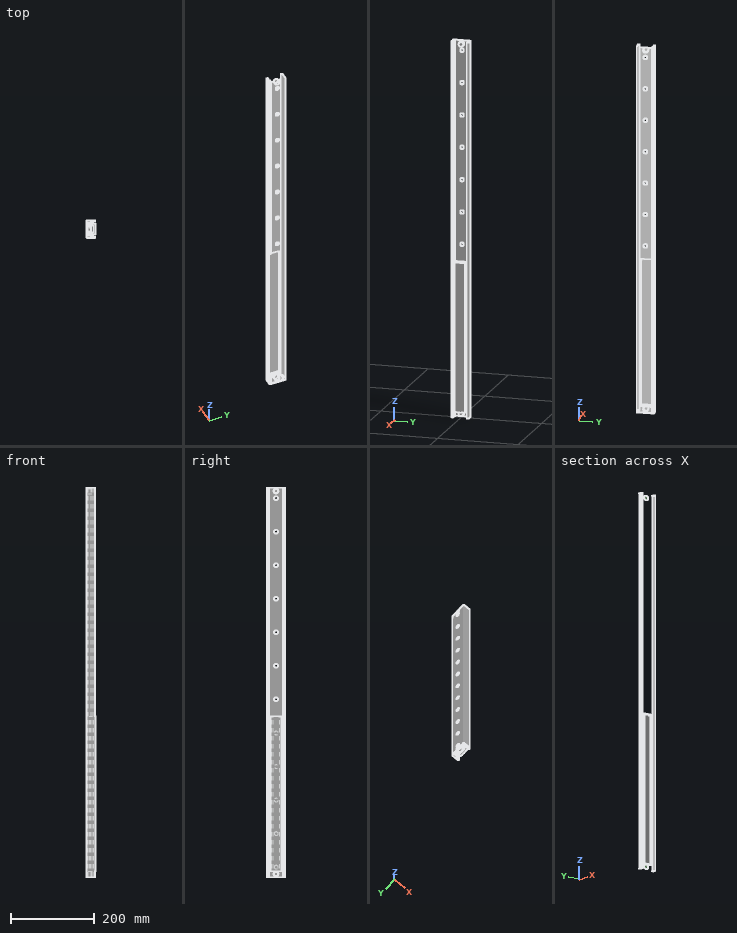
import cadquery as cq

RAIL_LENGTH = 930.0
RAIL_HEIGHT = 43.0
RAIL_DEPTH = 22.0

WEB_THICKNESS = 3.5
FLANGE_THICKNESS = 5.7
GUIDE_FRONT_GAP = 1.0
CORNER_RADIUS = 2.5
LIP_THICKNESS = 4.2
LIP_RADIUS = 2.0

RACEWAY_X = 2.3
RACEWAY_Y = 14.5
RACEWAY_RADIUS = 3.5

HOLE_COUNT = 12
HOLE_PITCH = 80.0
HOLE_DIAMETER = 9.0

PIN_END_DISTANCE = 8.0
PIN_SHANK_DIAMETER = 10.0
PIN_HEAD_DIAMETER = 12.0
PIN_HEAD_HEIGHT = 8.0

SLIDER_LENGTH = 370.0
SLIDER_HEIGHT = 26.0
SLIDER_BACK_X = -3.5
SLIDER_WEB_THICKNESS = 6.0
SLIDER_LEG_THICKNESS = 5.0

CAGE_THICKNESS = 1.0
CAGE_LEG_END_X = 5.0
CAGE_LEG_GAP = 0.5

HALF_HEIGHT = RAIL_HEIGHT / 2
BACK_X = -RAIL_DEPTH / 2
FRONT_X = RAIL_DEPTH / 2
GUIDE_FRONT_X = FRONT_X - GUIDE_FRONT_GAP
WEB_INNER_X = BACK_X + WEB_THICKNESS
FLANGE_INNER_Y = HALF_HEIGHT - FLANGE_THICKNESS
LIP_INNER_Y = HALF_HEIGHT - LIP_THICKNESS
PIN_Z = RAIL_LENGTH / 2 - PIN_END_DISTANCE
SLIDER_START_Z = -PIN_Z + PIN_HEAD_DIAMETER / 2


def box(x_range, y_range, z_range):
    """Box between the given limits along each axis."""
    (x0, x1), (y0, y1), (z0, z1) = x_range, y_range, z_range
    return cq.Workplane("XY").box(x1 - x0, y1 - y0, z1 - z0, centered=False).translate((x0, y0, z0))


def raceways(z_range):
    """Pair of round bars along Z that cut the ball grooves on both sides."""
    z_start, z_end = z_range
    places = [(RACEWAY_X, -RACEWAY_Y), (RACEWAY_X, RACEWAY_Y)]
    return (
        cq.Workplane("XY", origin=(0, 0, z_start))
        .pushPoints(places)
        .circle(RACEWAY_RADIUS)
        .extrude(z_end - z_start)
    )


def cylinder_x(diameter, x_start, x_end, z):
    """Cylinder along X, centred on the rail's middle plane."""
    return cq.Workplane("YZ", origin=(x_start, 0, z)).circle(diameter / 2).extrude(x_end - x_start)


def make_guide():
    half_length = RAIL_LENGTH / 2
    z_range = (-half_length, half_length)
    outer = box((BACK_X, GUIDE_FRONT_X), (-HALF_HEIGHT, HALF_HEIGHT), z_range)
    outer = outer.edges("|Z and <X").fillet(CORNER_RADIUS).edges("|Z and >X").fillet(LIP_RADIUS)
    cavity = box((WEB_INNER_X, GUIDE_FRONT_X), (-FLANGE_INNER_Y, FLANGE_INNER_Y), z_range)
    mouth = box((RACEWAY_X, GUIDE_FRONT_X), (-LIP_INNER_Y, LIP_INNER_Y), z_range)
    guide = outer.cut(cavity).cut(mouth).cut(raceways(z_range))
    for index in range(HOLE_COUNT):
        z = (index - (HOLE_COUNT - 1) / 2) * HOLE_PITCH
        guide = guide.cut(cylinder_x(HOLE_DIAMETER, BACK_X, WEB_INNER_X, z))
    for z in (-PIN_Z, PIN_Z):
        guide = guide.cut(cylinder_x(PIN_SHANK_DIAMETER, BACK_X, WEB_INNER_X, z))
    return guide


def make_pin(z):
    shank = cylinder_x(PIN_SHANK_DIAMETER, BACK_X, WEB_INNER_X, z)
    head = cylinder_x(PIN_HEAD_DIAMETER, WEB_INNER_X, WEB_INNER_X + PIN_HEAD_HEIGHT, z)
    return shank.union(head)


def make_slider():
    half = SLIDER_HEIGHT / 2
    inner = half - SLIDER_LEG_THICKNESS
    z_range = (SLIDER_START_Z, SLIDER_START_Z + SLIDER_LENGTH)
    slider = box((SLIDER_BACK_X, FRONT_X), (-half, half), z_range)
    slider = slider.cut(box((SLIDER_BACK_X, FRONT_X - SLIDER_WEB_THICKNESS), (-inner, inner), z_range))
    return slider.cut(raceways(z_range))


def make_cage():
    inner = SLIDER_HEIGHT / 2 + CAGE_LEG_GAP
    outer = inner + CAGE_THICKNESS
    z_range = (SLIDER_START_Z, SLIDER_START_Z + SLIDER_LENGTH)
    cage = box((SLIDER_BACK_X - CAGE_THICKNESS, CAGE_LEG_END_X), (-outer, outer), z_range)
    return cage.cut(box((SLIDER_BACK_X, CAGE_LEG_END_X), (-inner, inner), z_range))


guide = make_guide()
slider = make_slider()
cage = make_cage()
pins = [make_pin(z) for z in (-PIN_Z, PIN_Z)]

result = cq.Compound.makeCompound([guide.val(), slider.val(), cage.val(), *[pin.val() for pin in pins]])